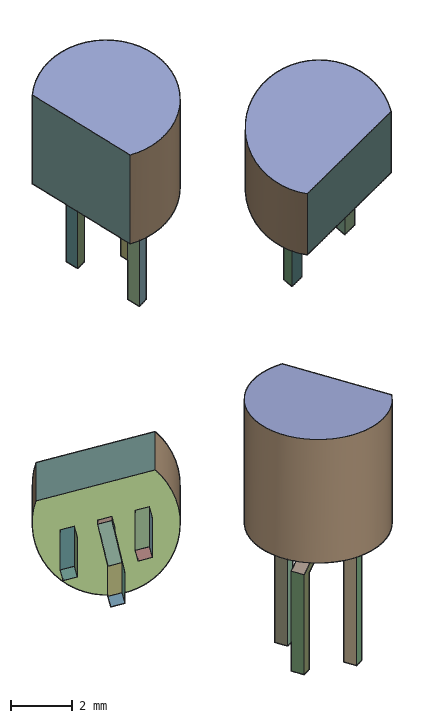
import cadquery as cq
import math

body_radius = 2.41
body_height = 4.8
flat_distance = 1.33

overall_height = 9.8
lead_length = overall_height - body_height
lead_width = 0.48
lead_thickness = 0.37
lead_pitch = 1.26
bend_angle = 30.0
bend_start_front = 0.51
bend_start_back = 0.38


def make_body():
    """D-shaped body standing on Z = 0, with its flat facing -Y."""
    flat_half_width = math.sqrt(body_radius**2 - flat_distance**2)
    return (
        cq.Workplane("XY")
        .moveTo(-flat_half_width, -flat_distance)
        .threePointArc((0, body_radius), (flat_half_width, -flat_distance))
        .close()
        .extrude(body_height)
    )


def make_straight_lead(x_center):
    """Straight rectangular lead hanging below the body."""
    return (
        cq.Workplane("XY")
        .center(x_center, 0)
        .rect(lead_width, lead_thickness)
        .extrude(-lead_length)
    )


def make_bent_lead():
    """Middle lead, stepped back by one pitch through a sloped section."""
    front = -lead_thickness / 2
    back = lead_thickness / 2
    bend_drop = lead_pitch * math.tan(math.radians(bend_angle))
    return (
        cq.Workplane("YZ")
        .moveTo(front, 0)
        .lineTo(front, -bend_start_front)
        .lineTo(front + lead_pitch, -bend_start_front - bend_drop)
        .lineTo(front + lead_pitch, -lead_length)
        .lineTo(back + lead_pitch, -lead_length)
        .lineTo(back + lead_pitch, -bend_start_back - bend_drop)
        .lineTo(back, -bend_start_back)
        .lineTo(back, 0)
        .close()
        .extrude(lead_width / 2, both=True)
    )


result = make_body().union(make_bent_lead())
for side in (-1, 1):
    result = result.union(make_straight_lead(side * lead_pitch))